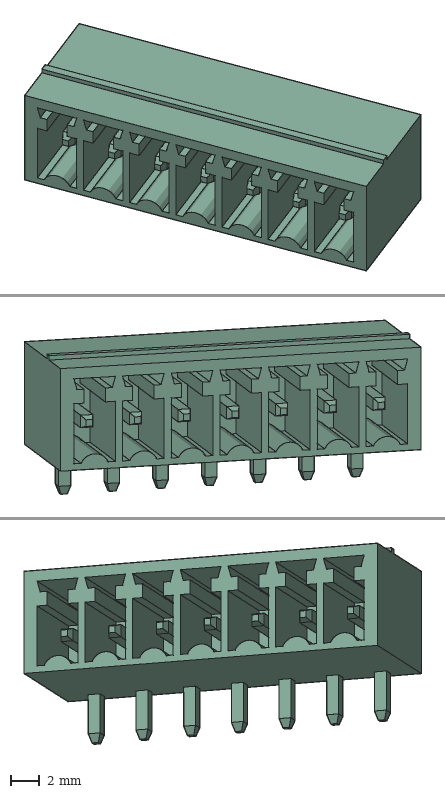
import cadquery as cq

length = 25.9
depth = 9.2
height = 7.25

rib_height = 0.3
rib_width = 0.57
rib_setback = 2.9

contact_count = 7
pitch = 3.5
row_start = -pitch * (contact_count - 1) / 2

socket_depth = 6.48
socket_width = 2.98
socket_floor = 0.47
shoulder_height = 4.71
neck_top = 5.7
neck_width = 1.53
dovetail_width = 2.55
socket_top = 6.48
hump_width = 1.95
hump_rise = 0.62

pin_size = 0.88
pin_tip_size = 0.47
pin_taper = 0.62
pin_height = 2.98
pin_setback = 1.4
tail_length = 3.4
tail_inset = 0.7
tail_y = depth - tail_inset - pin_size / 2


def make_housing():
    body = cq.Workplane("XY").box(length, depth, height, centered=(True, False, False))
    rib = (
        cq.Workplane("XY")
        .box(length, rib_width, rib_height, centered=(True, False, False))
        .translate((0, rib_setback, height))
    )
    return body.union(rib)


def make_socket(x):
    """Keyhole-shaped cavity with a rounded hump along its floor."""
    outline = (
        cq.Workplane("XZ", origin=(x, 0, 0))
        .moveTo(-socket_width / 2, socket_floor)
        .lineTo(-hump_width / 2, socket_floor)
        .threePointArc((0, socket_floor + hump_rise), (hump_width / 2, socket_floor))
        .lineTo(socket_width / 2, socket_floor)
        .lineTo(socket_width / 2, shoulder_height)
        .lineTo(neck_width / 2, shoulder_height)
        .lineTo(neck_width / 2, neck_top)
        .lineTo(dovetail_width / 2, neck_top)
        .lineTo(socket_width / 2, socket_top)
        .lineTo(-socket_width / 2, socket_top)
        .lineTo(-dovetail_width / 2, neck_top)
        .lineTo(-neck_width / 2, neck_top)
        .lineTo(-neck_width / 2, shoulder_height)
        .lineTo(-socket_width / 2, shoulder_height)
        .close()
    )
    return outline.extrude(-socket_depth)


def tapered_bar(plane, bar_length):
    """Square bar grown along the plane normal, ending in a tapered tip."""
    shank_length = bar_length - pin_taper
    shank = cq.Workplane(plane).rect(pin_size, pin_size).extrude(shank_length)
    tip = (
        cq.Workplane(plane)
        .workplane(offset=shank_length)
        .rect(pin_size, pin_size)
        .workplane(offset=pin_taper)
        .rect(pin_tip_size, pin_tip_size)
        .loft(combine=True)
    )
    return shank.union(tip)


def make_pin(x):
    """Contact blade pointing to the front, joined to a tail pointing down."""
    blade_plane = cq.Plane(origin=(x, tail_y, pin_height), xDir=(1, 0, 0), normal=(0, -1, 0))
    tail_plane = cq.Plane(origin=(x, tail_y, pin_height), xDir=(1, 0, 0), normal=(0, 0, -1))
    blade = tapered_bar(blade_plane, tail_y - pin_setback)
    tail = tapered_bar(tail_plane, pin_height + tail_length)
    return blade.union(tail)


result = make_housing()
for index in range(contact_count):
    contact_x = row_start + index * pitch
    result = result.cut(make_socket(contact_x)).union(make_pin(contact_x))